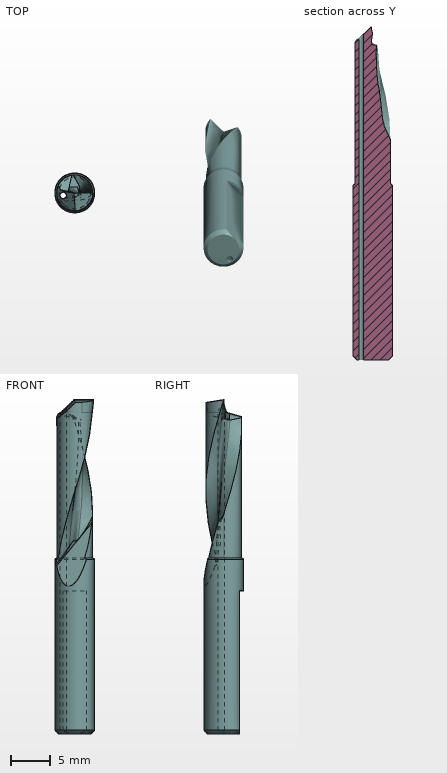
import cadquery as cq
import math

TOTAL_LENGTH = 42.0
SHANK_RADIUS = 2.5
SHANK_LENGTH = 21.95
SHANK_END_CHAMFER = 0.5
CUTTER_RADIUS = 2.26
SHOULDER_HEIGHT = 0.2

FLAT_Y = 2.0
FLAT_LENGTH = 18.0

TWIST_PER_MM = 7.8
RAKE_ROOT = (0.85, 0.0)
FLUTE_ROOT = (0.38, 0.32)
BACK_WALL_ROOT = (0.3, 0.95)
BACK_WALL_HEADING = 135.0
FLUTE_BOTTOM_Z = 20.0

FLUTE_END_Z = 24.9
FLUTE_END_ANGLE = 49.0
FLUTE_END_LEAN = 35.0

RUNOUT_DIRECTION = -108.0
RUNOUT_LOW_Z = 18.6
RUNOUT_LEAN = 17.0

LAND_SLOPE = 9.0
BEVEL_START_X = -0.08
BEVEL_SLOPE = 45.0
HEEL_Z = 40.5
HEEL_SLOPE = 16.0
HEEL_CUT_BOTTOM_Z = 36.0

GASH_LEFT_X = -0.7
GASH_BACK_Y = 0.75
GASH_FLOOR_Z = 39.6
GASH_SLOPE = 30.0
GASH_HEADING = -18.0

LIP_INNER_X = 0.9
LIP_TIP_RADIUS = 2.38
LIP_BOTTOM_Z = 40.4

HOLE_DIAMETER = 0.8
HOLE_X = -1.45
HOLE_Y = -0.3

REACH = 10.0


def space_above(origin, tilt_about_x=0.0, tilt_about_y=0.0, size=2 * REACH):
    """Block whose lower face is a tilted plane through origin."""
    block = cq.Workplane("XY").box(size, size, size, centered=(True, True, False))
    block = block.rotate((0, 0, 0), (1, 0, 0), tilt_about_x)
    block = block.rotate((0, 0, 0), (0, 1, 0), tilt_about_y)
    return block.translate(origin)


def twist_from_tip(section, bottom_z):
    """Helical tool from bottom_z to the tip; section(workplane) is its outline at the tip."""
    height = TOTAL_LENGTH - bottom_z
    twist = TWIST_PER_MM * height
    tool = section(cq.Workplane("XY")).twistExtrude(height, twist)
    return tool.rotate((0, 0, 0), (0, 0, 1), -twist).translate((0, 0, bottom_z))


def flute_section(plane):
    heading = math.radians(BACK_WALL_HEADING)
    wall_end_x = BACK_WALL_ROOT[0] + REACH * math.cos(heading)
    wall_end_y = BACK_WALL_ROOT[1] + REACH * math.sin(heading)
    return (
        plane.moveTo(REACH, 0)
        .lineTo(*RAKE_ROOT)
        .spline(
            [FLUTE_ROOT, BACK_WALL_ROOT],
            tangents=[(-1, 0), (math.cos(heading), math.sin(heading))],
            includeCurrent=True,
        )
        .lineTo(wall_end_x, wall_end_y)
        .lineTo(REACH, wall_end_y)
        .close()
    )


def behind_rake_section(plane):
    return (
        plane.moveTo(-REACH, 0)
        .lineTo(REACH, 0)
        .lineTo(REACH, REACH)
        .lineTo(-REACH, REACH)
        .close()
    )


def make_blank():
    shoulder_z = SHANK_LENGTH + SHOULDER_HEIGHT
    return (
        cq.Workplane("XZ")
        .moveTo(0, 0)
        .lineTo(SHANK_RADIUS - SHANK_END_CHAMFER, 0)
        .lineTo(SHANK_RADIUS, SHANK_END_CHAMFER)
        .lineTo(SHANK_RADIUS, SHANK_LENGTH)
        .lineTo(CUTTER_RADIUS, shoulder_z)
        .lineTo(CUTTER_RADIUS, TOTAL_LENGTH)
        .lineTo(0, TOTAL_LENGTH)
        .close()
        .revolve(360, (0, 0, 0), (0, 1, 0))
    )


def make_clamping_flat():
    return (
        cq.Workplane("XY")
        .box(2 * REACH, REACH, FLAT_LENGTH, centered=(True, False, False))
        .translate((0, FLAT_Y, 0))
    )


def make_lip():
    lip_front_y = -math.sqrt(CUTTER_RADIUS**2 - LIP_INNER_X**2)
    arc_angle = math.atan2(lip_front_y, LIP_INNER_X) / 2
    arc_x = CUTTER_RADIUS * math.cos(arc_angle)
    arc_y = CUTTER_RADIUS * math.sin(arc_angle)

    def section(plane, edge_x):
        growth = (edge_x - CUTTER_RADIUS) / 2
        return (
            plane.moveTo(LIP_INNER_X, 0)
            .lineTo(LIP_INNER_X, lip_front_y)
            .threePointArc((arc_x + growth, arc_y), (edge_x, 0))
            .close()
        )

    lower = section(cq.Workplane("XY").workplane(offset=LIP_BOTTOM_Z), CUTTER_RADIUS)
    upper = lower.workplane(offset=TOTAL_LENGTH - LIP_BOTTOM_Z)
    return section(upper, LIP_TIP_RADIUS).loft(ruled=True)


def above_flute_end():
    return space_above(
        (0, 0, FLUTE_END_Z),
        tilt_about_x=FLUTE_END_LEAN,
        tilt_about_y=-FLUTE_END_ANGLE,
        size=6 * REACH,
    )


def make_flute():
    flute = twist_from_tip(flute_section, FLUTE_BOTTOM_Z)
    return flute.intersect(above_flute_end())


def make_runout():
    heading = math.radians(RUNOUT_DIRECTION)
    start = (SHANK_RADIUS * math.cos(heading), SHANK_RADIUS * math.sin(heading), RUNOUT_LOW_Z)
    runout = (
        space_above((0, 0, 0), tilt_about_y=90 - RUNOUT_LEAN)
        .rotate((0, 0, 0), (0, 0, 1), RUNOUT_DIRECTION)
        .translate(start)
    )
    return runout.cut(above_flute_end())


def make_heel_cut():
    """Heel facet, gash facet and gash floor, all behind the rake face."""
    heel = space_above((0, 0, HEEL_Z), tilt_about_x=-HEEL_SLOPE)
    corner_z = HEEL_Z - GASH_BACK_Y * math.tan(math.radians(HEEL_SLOPE))
    gash_facet = (
        space_above((0, 0, 0), tilt_about_x=-HEEL_SLOPE, tilt_about_y=GASH_SLOPE)
        .rotate((0, 0, 0), (0, 0, 1), GASH_HEADING)
        .translate((GASH_LEFT_X, GASH_BACK_Y, corner_z))
    )
    gash_slot = (
        cq.Workplane("XY")
        .box(REACH, REACH, REACH, centered=False)
        .translate((GASH_LEFT_X, GASH_BACK_Y - REACH, GASH_FLOOR_Z))
    )
    behind_rake = twist_from_tip(behind_rake_section, HEEL_CUT_BOTTOM_Z)
    return behind_rake.intersect(heel.union(gash_facet).union(gash_slot))


def make_coolant_hole():
    return cq.Workplane("XY").center(HOLE_X, HOLE_Y).circle(HOLE_DIAMETER / 2).extrude(TOTAL_LENGTH)


tip = (0, 0, TOTAL_LENGTH)
bevel_start = (BEVEL_START_X, 0, TOTAL_LENGTH)
result = make_blank().union(make_lip())
result = result.cut(make_clamping_flat())
result = result.cut(make_flute())
result = result.cut(make_runout())
result = result.cut(make_heel_cut())
result = result.cut(space_above(tip, tilt_about_x=LAND_SLOPE))
result = result.cut(space_above(bevel_start, tilt_about_x=LAND_SLOPE, tilt_about_y=-BEVEL_SLOPE))
result = result.cut(make_coolant_hole())